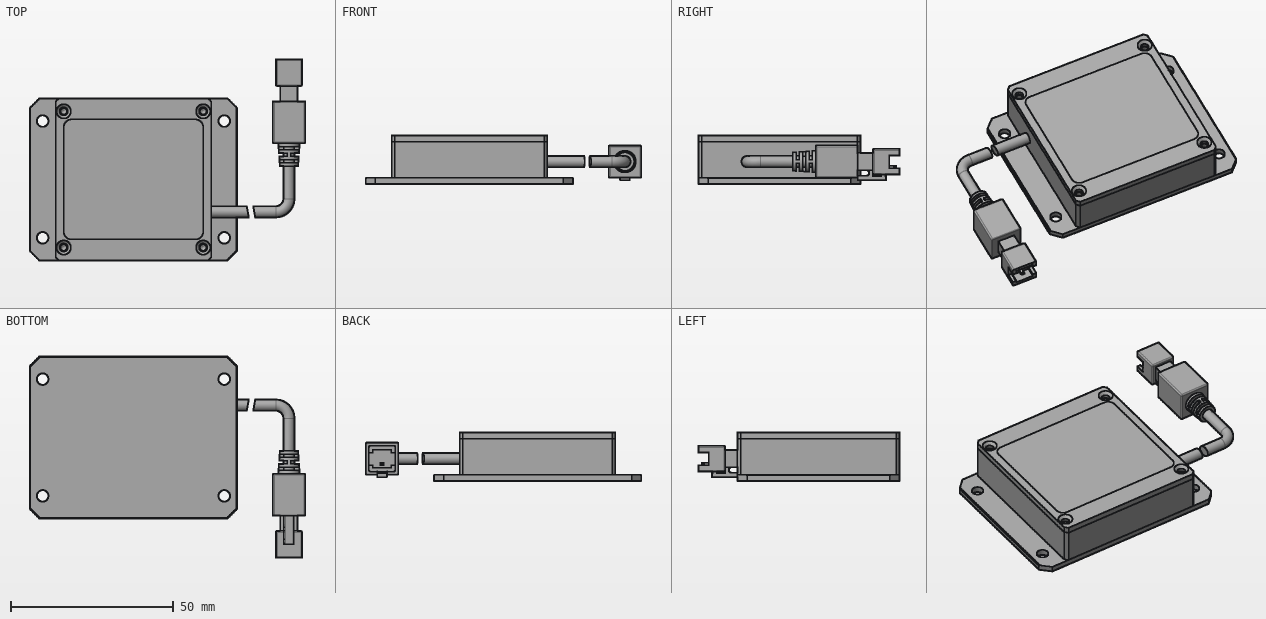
import cadquery as cq
import math

plate_length = 64.0
plate_width = 50.0
plate_thickness = 2.1
plate_corner_cut = 3.0
plate_edge_chamfer = 0.25
mount_hole_spacing_x = 56.0
mount_hole_spacing_y = 36.0
mount_hole_diameter = 3.5

housing_length = 48.0
housing_height = 11.0
housing_corner_chamfer = 1.0
lid_thickness = 2.0
window_length = 43.0
window_width = 37.0
window_corner_radius = 2.4

screw_spacing_x = 43.0
screw_spacing_y = 42.0
countersink_diameter = 4.4
countersink_angle = 90.0
clearance_diameter = 2.5
thread_diameter = 2.0
thread_depth = 4.0
drill_point_angle = 118.0

cable_diameter = 3.5
cable_y = -10.0
cable_bend_radius = 4.1
cable_axis_height = 4.95
cable_break_x = 36.25
cable_break_width = 1.9
cable_break_angle = 10.0

connector_axis_x = 47.95
relief_start_y = 4.1
relief_ring_length = 1.0
relief_ring_count = 4
relief_tip_radius = 2.85
relief_root_radius = 3.35
relief_web_thickness = 1.0
block_width = 10.1
block_height = 10.0
block_length = 13.0
block_edge_radius = 0.45
block_front_radius = 0.25
neck_size = 5.4
plug_end_y = 37.0
plug_width = 8.1
plug_height = 8.0
plug_length = 8.2
plug_edge_radius = 0.45
socket_wall = 1.2
slot_depth = 3.1
slot_height = 3.9
slot_offset = -0.1
contact_width = 1.0
contact_base_length = 1.4
contact_base_height = 0.8
contact_tip_length = 2.1
contact_tip_thickness = 0.3

latch_width = 3.1
latch_drop = 5.8
latch_thickness = 1.3
latch_tip_y = 32.9
latch_post_length = 1.2
latch_root_thickness = 1.5
latch_inner_radius = 0.7
latch_edge_radius = 0.4
latch_nub_length = 1.3
latch_nub_inset = 0.3

lid_bottom = plate_thickness + housing_height
lid_top = lid_bottom + lid_thickness
cable_z = plate_thickness + cable_axis_height
relief_length = relief_ring_length * (2 * relief_ring_count - 1)
block_start_y = relief_start_y + relief_length
block_end_y = block_start_y + block_length
plug_start_y = plug_end_y - plug_length


def box_between(x_range, y_range, z_range):
    """Axis-aligned box given by its limits along X, Y and Z."""
    size = [high - low for low, high in (x_range, y_range, z_range)]
    corner = (x_range[0], y_range[0], z_range[0])
    return cq.Workplane("XY").box(*size, centered=False).translate(corner)


def connector_box(width, y_range, height, z_center=cable_z):
    """Box centred on the connector axis in X and on z_center in Z."""
    x_range = (connector_axis_x - width / 2, connector_axis_x + width / 2)
    z_range = (z_center - height / 2, z_center + height / 2)
    return box_between(x_range, y_range, z_range)


def make_plate():
    plate = cq.Workplane("XY").rect(plate_length, plate_width).extrude(plate_thickness)
    plate = plate.edges("|Z").chamfer(plate_corner_cut)
    plate = plate.faces("<Z").edges().chamfer(plate_edge_chamfer)
    plate = plate.faces(">Z").edges("<X or >X").chamfer(plate_edge_chamfer)
    holes = (
        cq.Workplane("XY")
        .rect(mount_hole_spacing_x, mount_hole_spacing_y, forConstruction=True)
        .vertices()
        .circle(mount_hole_diameter / 2)
        .extrude(plate_thickness)
    )
    return plate.cut(holes)


def housing_block(bottom, height):
    """Block with the housing's footprint and chamfered upright edges."""
    block = cq.Workplane("XY").workplane(offset=bottom).rect(housing_length, plate_width).extrude(height)
    return block.edges("|Z").chamfer(housing_corner_chamfer)


def screw_points(level):
    plane = cq.Workplane("XY").workplane(offset=level)
    return plane.rect(screw_spacing_x, screw_spacing_y, forConstruction=True).vertices()


def make_housing():
    """Housing body with a blind screw hole, ending in a drill point, under each lid hole."""
    radius = thread_diameter / 2
    point_depth = radius / math.tan(math.radians(drill_point_angle / 2))
    hole = (
        cq.Workplane("XZ")
        .polyline([(0, 0), (radius, 0), (radius, -thread_depth), (0, -thread_depth - point_depth)])
        .close()
        .revolve()
        .val()
    )
    holes = screw_points(lid_bottom).eachpoint(lambda place: hole.moved(place), combine=False)
    return housing_block(plate_thickness, housing_height).cut(holes)


def make_window():
    window = cq.Workplane("XY").workplane(offset=lid_bottom).rect(window_length, window_width)
    return window.extrude(lid_thickness).edges("|Z").fillet(window_corner_radius)


def make_lid(window):
    lid = housing_block(lid_bottom, lid_thickness).cut(window)
    lid = lid.faces(">Z").workplane(origin=(0, 0, lid_top))
    lid = lid.rect(screw_spacing_x, screw_spacing_y, forConstruction=True).vertices()
    return lid.cskHole(clearance_diameter, countersink_diameter, countersink_angle)


def make_cable_pieces():
    """Cable from the housing to the connector block, split by a slanted break."""
    start_x = housing_length / 2
    bend_start_x = connector_axis_x - cable_bend_radius
    bend_end = (connector_axis_x, cable_y + cable_bend_radius)
    path = (
        cq.Workplane("XY", origin=(0, 0, cable_z))
        .moveTo(start_x, cable_y)
        .lineTo(bend_start_x, cable_y)
        .tangentArcPoint(bend_end, relative=False)
        .lineTo(connector_axis_x, block_start_y)
    )
    section = cq.Workplane("YZ", origin=(start_x, cable_y, cable_z)).circle(cable_diameter / 2)
    cable = section.sweep(path)
    gap_reach = 2 * cable_diameter
    gap = (
        cq.Workplane("XY")
        .box(cable_break_width, gap_reach, gap_reach)
        .rotate((0, 0, 0), (0, 0, 1), cable_break_angle)
        .translate((cable_break_x, cable_y, cable_z))
    )
    pieces = cable.cut(gap).solids()
    return pieces.solids("<X"), pieces.solids(">X")


def make_strain_relief():
    """Tapered sleeve; its slots open upward/downward and sideways in turn."""
    relief = (
        cq.Workplane("XZ", origin=(connector_axis_x, relief_start_y, cable_z))
        .circle(relief_tip_radius)
        .workplane(offset=-relief_length)
        .circle(relief_root_radius)
        .loft()
    )
    core = (
        cq.Workplane("XZ", origin=(connector_axis_x, relief_start_y, cable_z))
        .circle(cable_diameter / 2)
        .extrude(-relief_length)
    )
    reach = 2 * relief_root_radius
    for index in range(relief_ring_count - 1):
        slot_start = relief_start_y + (2 * index + 1) * relief_ring_length
        y_range = (slot_start, slot_start + relief_ring_length)
        slot = connector_box(reach, y_range, reach)
        if index % 2 == 0:
            web = connector_box(reach, y_range, relief_web_thickness)
        else:
            web = connector_box(relief_web_thickness, y_range, reach)
        relief = relief.cut(slot.cut(web))
    return relief.union(core)


def make_block():
    block = connector_box(block_width, (block_start_y, block_end_y), block_height)
    block = block.edges("|Y or <Y").fillet(block_edge_radius)
    return block.faces(">Y").edges().fillet(block_front_radius)


def make_plug():
    """Plug with a square socket in its end, slotted through both side walls."""
    plug = connector_box(plug_width, (plug_start_y, plug_end_y), plug_height)
    plug = plug.edges("|Y or <Y").fillet(plug_edge_radius)
    slot_floor_y = plug_end_y - slot_depth
    slot_center_z = cable_z + slot_offset
    slot = connector_box(plug_width, (slot_floor_y, plug_end_y), slot_height, slot_center_z)
    socket = connector_box(
        plug_width - 2 * socket_wall, (slot_floor_y, plug_end_y), plug_height - 2 * socket_wall
    )
    slot_bottom_z = slot_center_z - slot_height / 2
    contact_base = connector_box(
        contact_width,
        (slot_floor_y, slot_floor_y + contact_base_length),
        contact_base_height,
        slot_bottom_z + contact_base_height / 2,
    )
    contact_tip = connector_box(
        contact_width,
        (slot_floor_y, slot_floor_y + contact_tip_length),
        contact_tip_thickness,
        slot_bottom_z + contact_base_height - contact_tip_thickness / 2,
    )
    return plug.cut(slot).cut(socket).union(contact_base).union(contact_tip)


def make_latch():
    """Latch blade hung from the neck by a post, with a nub facing the plug."""
    bottom_z = cable_z - latch_drop
    blade_top_z = bottom_z + latch_thickness
    root_top_z = bottom_z + latch_root_thickness
    neck_bottom_z = cable_z - neck_size / 2
    plug_bottom_z = cable_z - plug_height / 2
    post_start_y = plug_start_y - latch_post_length
    x_range = (connector_axis_x - latch_width / 2, connector_axis_x + latch_width / 2)

    root = box_between(x_range, (block_end_y, plug_start_y), (bottom_z, neck_bottom_z))
    opening = box_between(x_range, (block_end_y, post_start_y), (root_top_z, neck_bottom_z))
    opening = opening.faces(">Y").edges("|X").fillet(latch_inner_radius)
    blade = box_between(x_range, (plug_start_y, latch_tip_y), (bottom_z, blade_top_z))
    nub_end_y = latch_tip_y - latch_nub_inset
    nub = box_between(x_range, (nub_end_y - latch_nub_length, nub_end_y), (blade_top_z, plug_bottom_z))
    latch = root.cut(opening).union(blade)
    latch = latch.faces("<Z").edges("|Y").fillet(latch_edge_radius)
    return latch.union(nub)


def make_connector(cable_piece):
    neck = connector_box(neck_size, (block_end_y, plug_start_y), neck_size)
    connector = cable_piece.union(make_strain_relief()).union(make_block())
    return connector.union(neck).union(make_plug()).union(make_latch())


plate = make_plate()
housing = make_housing()
window = make_window()
lid = make_lid(window)
cable_stub, cable_tail = make_cable_pieces()
connector = make_connector(cable_tail)

result = cq.Compound.makeCompound(
    [plate.val(), housing.val(), lid.val(), window.val(), cable_stub.val(), connector.val()]
)